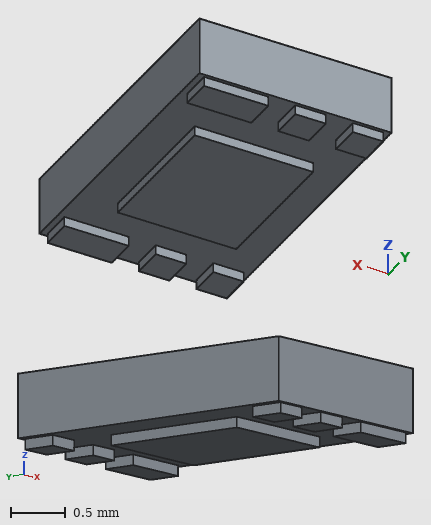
import cadquery as cq

BODY_WIDTH = 2.0
BODY_LENGTH = 3.0
BODY_HEIGHT = 0.6

PAD_THICKNESS = 0.1
PAD_SIDE = 0.318
PAD_PITCH = 0.6
SIDE_INSET = 0.065
END_INSET = 0.033
THERMAL_PAD_LENGTH = 1.443

first_pad_left = -BODY_WIDTH / 2 + SIDE_INSET
wide_pad_left = first_pad_left + 2 * PAD_PITCH
wide_pad_width = BODY_WIDTH / 2 - SIDE_INSET - wide_pad_left
row_offset = BODY_LENGTH / 2 - END_INSET - PAD_SIDE / 2

thermal_pad_width = BODY_WIDTH - 2 * (SIDE_INSET + PAD_SIDE)


def make_package():
    """Plain block resting on top of the pads."""
    return (
        cq.Workplane("XY")
        .workplane(offset=PAD_THICKNESS)
        .box(BODY_WIDTH, BODY_LENGTH, BODY_HEIGHT, centered=(True, True, False))
    )


def make_pad(left, center_y, width, length):
    """Flat rectangular pad with its underside at Z = 0."""
    return (
        cq.Workplane("XY")
        .center(left + width / 2, center_y)
        .box(width, length, PAD_THICKNESS, centered=(True, True, False))
    )


package = make_package()
thermal_pad = make_pad(-thermal_pad_width / 2, 0, thermal_pad_width, THERMAL_PAD_LENGTH)

square_pads = []
wide_pads = []
for row_y in (-row_offset, row_offset):
    for pad_left in (first_pad_left, first_pad_left + PAD_PITCH):
        square_pads.append(make_pad(pad_left, row_y, PAD_SIDE, PAD_SIDE).val())
    wide_pads.append(make_pad(wide_pad_left, row_y, wide_pad_width, PAD_SIDE).val())

result = cq.Compound.makeCompound([package.val(), thermal_pad.val(), *square_pads, *wide_pads])